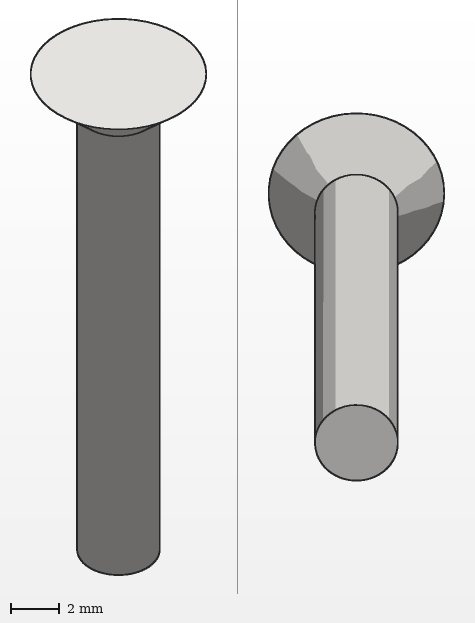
import cadquery as cq

total_length = 25
head_diameter = 7.2
shank_diameter = 3.4

head_radius = head_diameter / 2
shank_radius = shank_diameter / 2
head_height = head_radius - shank_radius
shank_length = total_length - head_height

result = (
    cq.Workplane("XZ")
    .lineTo(shank_radius, 0)
    .lineTo(shank_radius, shank_length)
    .lineTo(head_radius, total_length)
    .lineTo(0, total_length)
    .close()
    .revolve(360, (0, 0, 0), (0, 1, 0))
)